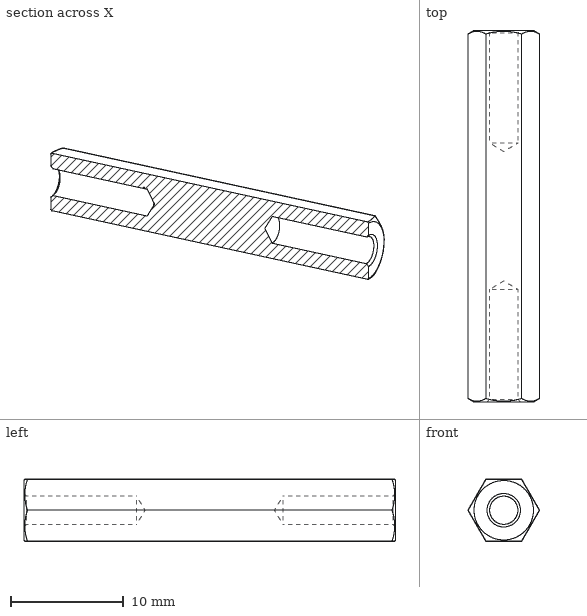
import cadquery as cq
import math

length = 33.0
across_flats = 5.5
across_corners = across_flats / math.cos(math.radians(30))

end_face_diameter = 5.28
corner_chamfer_angle = 30.0

hole_diameter = 2.5
mouth_diameter = 2.97
hole_depth = 10.0
drill_point_angle = 118.0
countersink_angle = 90.0


def hexagon_bar():
    """Hexagonal bar with corners on +X and -X and flats on top and bottom."""
    return cq.Workplane("XZ").polygon(6, across_corners).extrude(length / 2, both=True)


def chamfer_envelope():
    """Round bar with coned ends, touching the corners of the hexagon."""
    corner_radius = across_corners / 2
    face_radius = end_face_diameter / 2
    cone_height = (corner_radius - face_radius) * math.tan(math.radians(corner_chamfer_angle))
    end = length / 2
    profile = (
        cq.Workplane("XY")
        .moveTo(0, -end)
        .lineTo(face_radius, -end)
        .lineTo(corner_radius, -end + cone_height)
        .lineTo(corner_radius, end - cone_height)
        .lineTo(face_radius, end)
        .lineTo(0, end)
        .close()
    )
    return profile.revolve(360, (0, 0, 0), (0, 1, 0))


def front_hole():
    """Cutter for the hole that enters from the -Y end."""
    hole_radius = hole_diameter / 2
    mouth_radius = mouth_diameter / 2
    countersink_depth = (mouth_radius - hole_radius) / math.tan(math.radians(countersink_angle / 2))
    point_height = hole_radius / math.tan(math.radians(drill_point_angle / 2))
    mouth = -length / 2
    profile = (
        cq.Workplane("XY")
        .moveTo(0, mouth)
        .lineTo(mouth_radius, mouth)
        .lineTo(hole_radius, mouth + countersink_depth)
        .lineTo(hole_radius, mouth + hole_depth)
        .lineTo(0, mouth + hole_depth + point_height)
        .close()
    )
    return profile.revolve(360, (0, 0, 0), (0, 1, 0))


hole = front_hole()
body = hexagon_bar().intersect(chamfer_envelope())
result = body.cut(hole).cut(hole.mirror("XZ"))